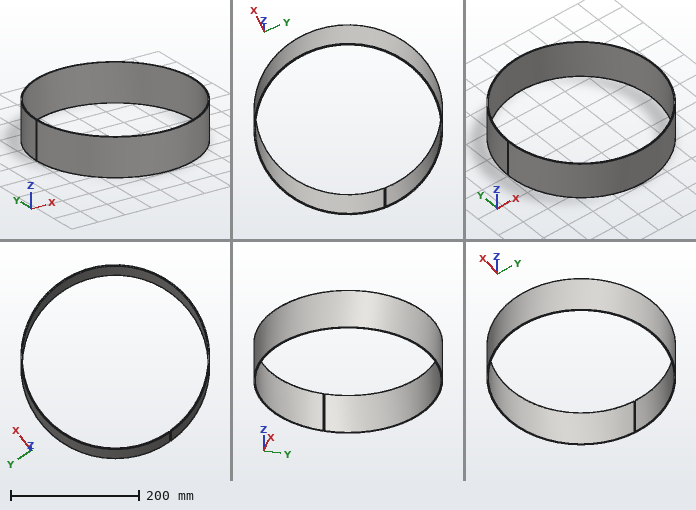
import cadquery as cq

outer_diameter = 295.0
wall_thickness = 2.5
height = 70.0

outer_bevel = 0.5
inner_bevel = 0.2

split_angle = 1.0

outer_radius = outer_diameter / 2
inner_radius = outer_radius - wall_thickness
rim_outer_radius = outer_radius - outer_bevel
rim_inner_radius = inner_radius + inner_bevel


def make_wall_section():
    """Wall cross-section in the XZ plane, on the -X side of the axis."""
    return cq.Workplane("XZ").polyline([
        (-rim_inner_radius, 0),
        (-rim_outer_radius, 0),
        (-outer_radius, outer_bevel),
        (-outer_radius, height - outer_bevel),
        (-rim_outer_radius, height),
        (-rim_inner_radius, height),
        (-inner_radius, height - inner_bevel),
        (-inner_radius, inner_bevel),
    ]).close()


result = make_wall_section().revolve(360 - split_angle, (0, 0), (0, 1))